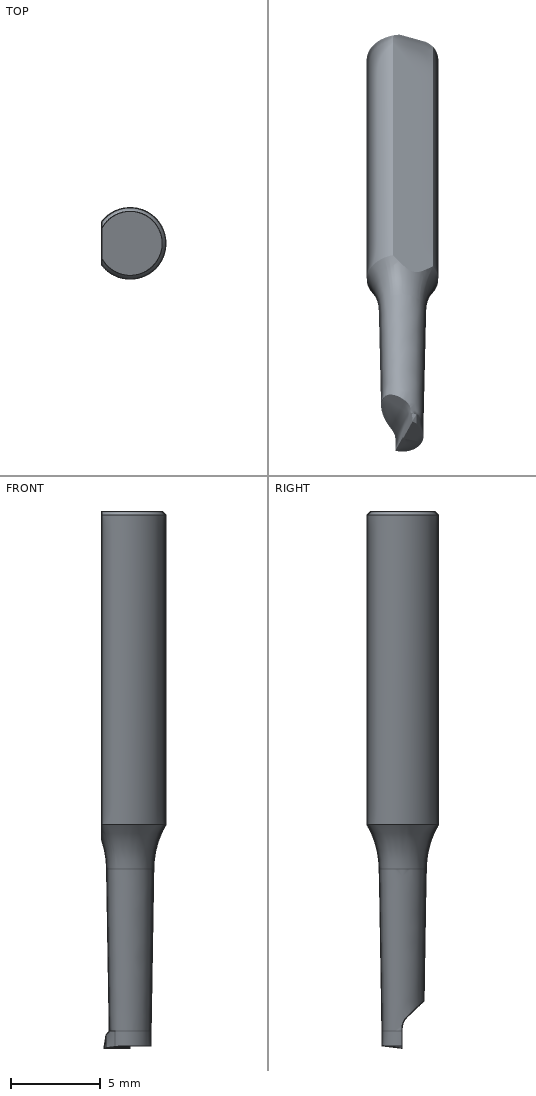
import cadquery as cq
import math

total_length = 30.0
shank_radius = 6 / 3
flat_offset = 0.8 * shank_radius
shank_bottom = 12.5
top_chamfer = 0.2

neck_top = 10.02
neck_top_radius = 1.32
neck_bottom_radius = 1.17

head_height = 0.95
relief_start = 2.65
relief_end = 1.5
runout_radius = 0.9
rake_offset = 0.03
tip_reach = 1.47
tooth_shoulder_reach = 1.35
tooth_shoulder_height = 0.75
tooth_depth = 0.3
tooth_heel_angle = 226.0
end_relief_rise = 0.15
end_relief_run = 1.2
plain_end_height = 0.12


def make_body():
    """Revolve the shank, flare and neck about Z."""
    flare_height = shank_bottom - neck_top
    flare_step = shank_radius - neck_top_radius
    flare_radius = (flare_height**2 + flare_step**2) / (2 * flare_step)
    flare_mid_angle = math.asin(flare_height / flare_radius) / 2
    flare_mid = (
        neck_top_radius + flare_radius * (1 - math.cos(flare_mid_angle)),
        neck_top + flare_radius * math.sin(flare_mid_angle),
    )
    return (
        cq.Workplane("XZ")
        .lineTo(neck_bottom_radius, 0)
        .lineTo(neck_bottom_radius, head_height)
        .lineTo(neck_top_radius, neck_top)
        .threePointArc(flare_mid, (shank_radius, shank_bottom))
        .lineTo(shank_radius, total_length - top_chamfer)
        .lineTo(shank_radius - top_chamfer, total_length)
        .lineTo(0, total_length)
        .close()
        .revolve(360, (0, 0), (0, 1))
    )


def make_flat_cutter():
    """Everything beyond the shank flat."""
    return (
        cq.Workplane("XY")
        .box(shank_radius, 2 * shank_radius, total_length, centered=(False, True, False))
        .translate((-flat_offset - shank_radius, 0, 0))
    )


def make_tooth():
    """Tooth projecting to -X, narrowing towards the back and sloped on its upper corner."""
    heel_angle = math.radians(tooth_heel_angle)
    heel = (neck_bottom_radius * math.cos(heel_angle), neck_bottom_radius * math.sin(heel_angle))
    plan = (
        cq.Workplane("XY")
        .polyline([(0, 0), (-tip_reach, 0), (-tooth_shoulder_reach, -tooth_depth), heel])
        .close()
        .extrude(head_height)
    )
    side = (
        cq.Workplane("XZ")
        .polyline([
            (0, 0),
            (-tip_reach, 0),
            (-tooth_shoulder_reach, tooth_shoulder_height),
            (-neck_bottom_radius, head_height),
            (0, head_height),
        ])
        .close()
        .extrude(neck_bottom_radius)
    )
    return plan.intersect(side)


def make_rake_cutter():
    """Remove the +Y half of the head, with a rounded, sloping run-out up the neck."""
    return (
        cq.Workplane("YZ")
        .polyline([
            (-rake_offset, 0),
            (-rake_offset, relief_end),
            (neck_bottom_radius, relief_start),
            (shank_radius, relief_start),
            (shank_radius, 0),
        ])
        .close()
        .extrude(shank_radius, both=True)
        .edges(cq.selectors.NearestToPointSelector((0, -rake_offset, relief_end)))
        .fillet(runout_radius)
    )


def make_end_relief_cutter():
    """Wedge that lifts the end face away from the cutting edge towards -Y."""
    return (
        cq.Workplane("YZ")
        .polyline([(-rake_offset, 0), (-end_relief_run, end_relief_rise), (-end_relief_run, 0)])
        .close()
        .extrude(shank_radius, both=True)
    )


def make_plain_end_cutter():
    """Shorten the +X side of the head, which does not cut."""
    return cq.Workplane("XY").box(
        shank_radius, 2 * shank_radius, plain_end_height, centered=(False, True, False)
    )


result = (
    make_body()
    .cut(make_flat_cutter())
    .union(make_tooth())
    .cut(make_rake_cutter())
    .cut(make_end_relief_cutter())
    .cut(make_plain_end_cutter())
)